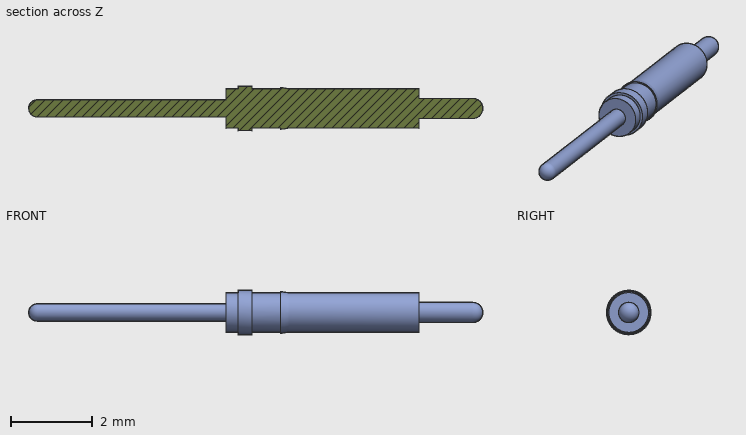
import cadquery as cq
import math

total_length = 11.1

tail_dia = 0.43
barrel_dia = 0.97
flange_dia = 1.09
barb_dia = 1.03
plunger_dia = 0.50

tail_length = 4.82
barrel_length = 4.72
flange_offset = 0.30
flange_width = 0.34
barb_offset = 1.34
barb_width = 0.20

tail_r = tail_dia / 2
barrel_r = barrel_dia / 2
flange_r = flange_dia / 2
barb_r = barb_dia / 2
plunger_r = plunger_dia / 2

tail_tip_x = -total_length / 2
plunger_tip_x = total_length / 2
barrel_rear_x = tail_tip_x + tail_length
barrel_front_x = barrel_rear_x + barrel_length
flange_rear_x = barrel_rear_x + flange_offset
flange_front_x = flange_rear_x + flange_width
barb_rear_x = barrel_rear_x + barb_offset
barb_front_x = barb_rear_x + barb_width

tail_dome_x = tail_tip_x + tail_r
plunger_dome_x = plunger_tip_x - plunger_r

diagonal = math.sqrt(0.5)

half_profile = (
    cq.Workplane("XY")
    .moveTo(tail_tip_x, 0)
    .threePointArc((tail_dome_x - tail_r * diagonal, tail_r * diagonal), (tail_dome_x, tail_r))
    .lineTo(barrel_rear_x, tail_r)
    .lineTo(barrel_rear_x, barrel_r)
    .lineTo(flange_rear_x, barrel_r)
    .lineTo(flange_rear_x, flange_r)
    .lineTo(flange_front_x, flange_r)
    .lineTo(flange_front_x, barrel_r)
    .lineTo(barb_rear_x, barrel_r)
    .lineTo(barb_rear_x, barb_r)
    .lineTo(barb_front_x, barrel_r)
    .lineTo(barrel_front_x, barrel_r)
    .lineTo(barrel_front_x, plunger_r)
    .lineTo(plunger_dome_x, plunger_r)
    .threePointArc(
        (plunger_dome_x + plunger_r * diagonal, plunger_r * diagonal),
        (plunger_tip_x, 0),
    )
    .close()
)

result = half_profile.revolve(360, (0, 0, 0), (1, 0, 0))